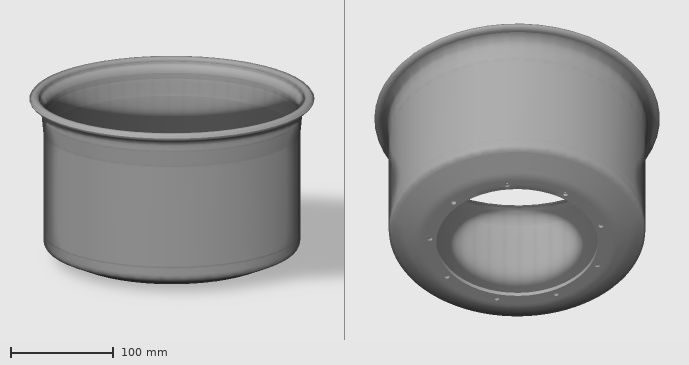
import cadquery as cq
import math

rim_radius = 138.8
height = 164.5
wall = 4.0

bead_height = 7.5
bead_crest_radius = 133.8
bead_top_round = 4.5
bead_under_radius = 131.5
lip_bottom_z = 160.5
lip_top_z = 162.2
flare_start_radius = 128.5
flare_start_z = 158.5
flare_bulge = 1.0

collar_radius = 127.0
collar_top_z = 150.5
collar_break_top_z = 144.7
collar_break_bottom_z = 142.7
collar_break_radius = 126.5
body_radius = 125.2
body_taper_end_radius = 125.5
taper_end_z = 130.2
body_top_z = 127.7
joint_top_z = 26.7
joint_bottom_z = 25.0
base_radius = 125.0

cone_angle = 24.0
floor_outer_radius = 96.0
opening_radius = 78.5
corner_radius = 7.2
floor_bend_radius = 16.5

hole_count = 9
hole_circle_radius = 85.0
hole_diameter = 5.0


def arc_middle(start, end, bulge):
    """Point offset to the left of the chord midpoint by the given bulge."""
    dx = end[0] - start[0]
    dz = end[1] - start[1]
    chord = math.hypot(dx, dz)
    return (
        (start[0] + end[0]) / 2 - bulge * dz / chord,
        (start[1] + end[1]) / 2 + bulge * dx / chord,
    )


def revolve_profile(profile):
    return profile.close().revolve(360, (0, 0, 0), (0, 1, 0))


def make_base():
    """Conical dish with a flat floor and rounded bends, up to the wall joint."""
    slope = math.tan(math.radians(cone_angle))
    inner_radius = base_radius - wall
    bend_shift = wall * math.tan(math.radians(cone_angle / 2))
    inner_floor_radius = floor_outer_radius - bend_shift
    outer_corner_z = (base_radius - floor_outer_radius) * slope
    inner_corner_z = wall + (inner_radius - inner_floor_radius) * slope
    profile = (
        cq.Workplane("XZ")
        .moveTo(opening_radius, 0)
        .lineTo(floor_outer_radius, 0)
        .lineTo(base_radius, outer_corner_z)
        .lineTo(base_radius, joint_bottom_z)
        .lineTo(inner_radius, joint_bottom_z)
        .lineTo(inner_radius, inner_corner_z)
        .lineTo(inner_floor_radius, wall)
        .lineTo(opening_radius, wall)
    )
    dish = revolve_profile(profile)

    def round_circle(solid, radius, level, fillet):
        """Fillet the circular edge lying at one radius and level."""
        tolerance = 0.03
        edges = [
            edge for edge in solid.edges("%CIRCLE").vals()
            if abs(edge.radius() - radius) < tolerance and abs(edge.Center().z - level) < tolerance
        ]
        return solid.newObject(edges).fillet(fillet)

    dish = round_circle(dish, base_radius, outer_corner_z, corner_radius)
    dish = round_circle(dish, inner_radius, inner_corner_z, corner_radius - wall)
    dish = round_circle(dish, floor_outer_radius, 0, floor_bend_radius + wall)
    return round_circle(dish, inner_floor_radius, wall, floor_bend_radius)


def make_side_wall():
    """Side wall with its tapered collar, flared mouth and rolled bead."""
    bead_bottom_z = height - bead_height
    bead_center_z = height - bead_top_round
    collar_top = (collar_radius, collar_top_z)
    bead_under = (bead_under_radius, bead_bottom_z)
    bead_bottom = (bead_crest_radius, bead_bottom_z)
    bead_crest = (bead_crest_radius, height)
    bead_inside = (bead_crest_radius - bead_top_round, bead_center_z)
    lip_bottom = (rim_radius, lip_bottom_z)
    lip_inset = math.sqrt(bead_top_round**2 - (lip_top_z - bead_center_z) ** 2)
    lip_top = (bead_crest_radius + lip_inset, lip_top_z)
    flare_start = (flare_start_radius, flare_start_z)
    collar_inside = (collar_radius - wall, collar_top_z)
    bead_bulge = -1.0
    profile = (
        cq.Workplane("XZ")
        .moveTo(base_radius - wall, joint_bottom_z)
        .lineTo(base_radius, joint_bottom_z)
        .lineTo(body_radius, joint_top_z)
        .lineTo(body_radius, body_top_z)
        .lineTo(body_taper_end_radius, taper_end_z)
        .lineTo(collar_break_radius, collar_break_bottom_z)
        .lineTo(collar_radius, collar_break_top_z)
        .lineTo(*collar_top)
        .threePointArc(arc_middle(collar_top, bead_under, flare_bulge), bead_under)
        .lineTo(*bead_bottom)
        .threePointArc(arc_middle(bead_bottom, lip_bottom, bead_bulge), lip_bottom)
        .lineTo(*lip_top)
        .threePointArc(bead_crest, bead_inside)
        .lineTo(*flare_start)
        .threePointArc(arc_middle(flare_start, collar_inside, -flare_bulge), collar_inside)
        .lineTo(collar_radius - wall, collar_break_top_z)
        .lineTo(collar_break_radius - wall, collar_break_bottom_z)
        .lineTo(body_taper_end_radius - wall, taper_end_z)
        .lineTo(body_radius - wall, body_top_z)
        .lineTo(body_radius - wall, joint_top_z)
    )
    return revolve_profile(profile)


def make_bolt_holes():
    """Ring of drills through the floor, the first one on +Y."""
    return (
        cq.Workplane("XY")
        .polarArray(hole_circle_radius, 90, 360, hole_count)
        .circle(hole_diameter / 2)
        .extrude(wall)
    )


result = make_base().union(make_side_wall()).cut(make_bolt_holes())